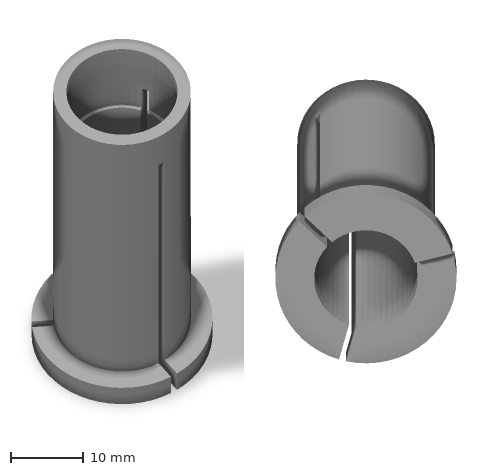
import cadquery as cq

total_height = 52.5
flange_diameter = 25.0
flange_height = 3.5
tube_diameter = 19.0

wide_bore_diameter = 15.35
narrow_bore_diameter = 14.3
wide_bore_depth = 12.0
step_height = total_height - wide_bore_depth

slot_count = 3
slot_width = 1.0
solid_collar_height = 6.1
first_slot_angle = 90.0
slot_height = total_height - solid_collar_height


def cylinder(diameter, height, base=0.0):
    return cq.Workplane("XY").workplane(offset=base).circle(diameter / 2).extrude(height)


def radial_slot(angle):
    """Slot from the axis to the flange rim, with a ceiling that falls at 45 degrees towards the axis."""
    tube_radius = tube_diameter / 2
    flange_radius = flange_diameter / 2
    profile = [
        (0, 0),
        (flange_radius, 0),
        (flange_radius, slot_height),
        (tube_radius, slot_height),
        (0, slot_height - tube_radius),
    ]
    slot = cq.Workplane("XZ").polyline(profile).close().extrude(slot_width / 2, both=True)
    return slot.rotate((0, 0, 0), (0, 0, 1), angle)


sleeve = cylinder(flange_diameter, flange_height).union(cylinder(tube_diameter, total_height))

sleeve = sleeve.cut(cylinder(narrow_bore_diameter, total_height))
sleeve = sleeve.cut(cylinder(wide_bore_diameter, wide_bore_depth, step_height))

for index in range(slot_count):
    sleeve = sleeve.cut(radial_slot(first_slot_angle + index * 360.0 / slot_count))

result = sleeve